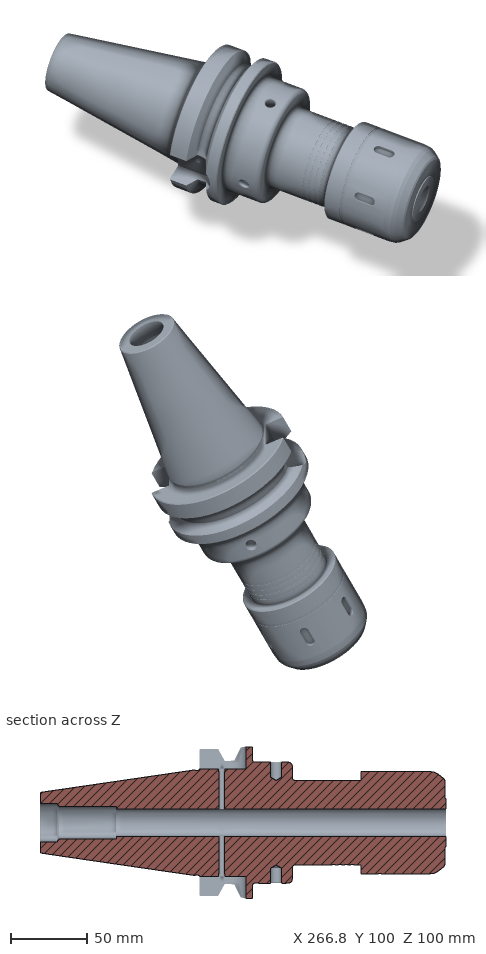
import cadquery as cq
import math

GAUGE_D = 69.85
TAPER_LENGTH = 101.8
TAPER_RATE = 7 / 24
SHANK_X = -TAPER_LENGTH
SHANK_CHAMFER = 0.5
RELIEF_D = 69.0
RELIEF_FILLET = 1.6

FLANGE_X = 3.0
FLANGE_END_X = 38.0
FLANGE_D = 100.0
RIM_CHAMFER = 0.6
GROOVE_D = 84.8
GROOVE_SLOPE = math.tan(math.radians(30))
GROOVE_FLOOR_X = 19.6
GROOVE_FLOOR_END_X = 25.8

BODY_D = 80.0
BODY_END_X = 64.0
BODY_ROUND = 3.0
BODY_FOOT_FILLET = 1.0

NECK_D = 56.0
NECK_FILLET = 1.5
MARK_D = 55.6
MARK_START_X = 90.2
MARK_WIDTH = 2.0
MARK_COUNT = 4

NUT_X = 108.8
NUT_D = 68.0
NUT_CHAMFER = 0.6
NUT_GROOVE_X = 120.2
NUT_GROOVE_WIDTH = 2.0
NUT_GROOVE_DEPTH = 0.3
NOSE_TAPER_X = 152.2
NOSE_TAPER_END_X = 157.0
NOSE_TAPER_DROP = 0.5
NOSE_BEVEL_X = 159.5
NOSE_BEVEL_R = 32.2
NOSE_BEVEL_END_X = 163.6
NOSE_BEVEL_END_R = 29.0
NOSE_FACE_X = 164.4
NOSE_FACE_R = 27.5
LIP_D = 32.0
END_X = 165.0

BORE_D = 18.0
THREAD_D = 21.0
THREAD_DEPTH = 50.0
THREAD_CHAMFER_D = 24.0
COUNTERBORE_D = 25.0
COUNTERBORE_MOUTH_D = 25.4
COUNTERBORE_DEPTH = 11.0

SLOT_WIDTH = 25.4
SLOT_END_X = 33.4
SLOT_FLOOR_Y = 35.4
SCREW_HOLE_X = 17.4
SCREW_HOLE_D = 3.4
SCREW_MOUTH_D = 4.0
SCREW_MOUTH_DEPTH = 2.0

RADIAL_HOLE_COUNT = 4
RADIAL_HOLE_X = 53.2
RADIAL_HOLE_D = 6.93
RADIAL_MOUTH_D = 8.0
RADIAL_HOLE_DEPTH = 10.0
DRILL_TIP_ANGLE = 118.0

SPANNER_SLOT_COUNT = 6
SPANNER_SLOT_X = 136.3
SPANNER_SLOT_LENGTH = 14.5
SPANNER_SLOT_WIDTH = 6.0
SPANNER_SLOT_DEPTH = 2.5

CUT_MARGIN = 1.0


def arc_middle(center_x, center_r, radius, degrees):
    """Point on a profile arc, at an angle measured from +X towards larger radius."""
    angle = math.radians(degrees)
    return center_x + radius * math.cos(angle), center_r + radius * math.sin(angle)


def fillet_to_wall(profile, wall_x, floor_r, radius):
    """Continue a profile along a cylinder and up a concave fillet to a wall on its +X side."""
    middle = arc_middle(wall_x - radius, floor_r + radius, radius, -45)
    profile = profile.lineTo(wall_x - radius, floor_r)
    return profile.threePointArc(middle, (wall_x, floor_r + radius))


def fillet_from_wall(profile, wall_x, floor_r, radius):
    """Continue a profile down a wall and through a concave fillet onto a cylinder on +X."""
    middle = arc_middle(wall_x + radius, floor_r + radius, radius, -135)
    profile = profile.lineTo(wall_x, floor_r + radius)
    return profile.threePointArc(middle, (wall_x + radius, floor_r))


def revolve(profile):
    return profile.close().revolve(360, (0, 0, 0), (1, 0, 0))


def ring_cut(start_x, width, floor_r, outer_r):
    ring = cq.Workplane("YZ", origin=(start_x, 0, 0)).circle(outer_r).circle(floor_r)
    return ring.extrude(width)


def make_shank_and_neck():
    small_r = (GAUGE_D - TAPER_LENGTH * TAPER_RATE) / 2
    flange_r = FLANGE_D / 2
    floor_r = GROOVE_D / 2
    body_r = BODY_D / 2
    neck_r = NECK_D / 2

    profile = cq.Workplane("XY").moveTo(SHANK_X, 0)
    profile = profile.lineTo(SHANK_X, small_r - SHANK_CHAMFER)
    profile = profile.lineTo(SHANK_X + SHANK_CHAMFER, small_r + SHANK_CHAMFER * TAPER_RATE / 2)
    profile = profile.lineTo(0, GAUGE_D / 2).lineTo(0, RELIEF_D / 2)
    profile = fillet_to_wall(profile, FLANGE_X, RELIEF_D / 2, RELIEF_FILLET)

    profile = profile.lineTo(FLANGE_X, flange_r - RIM_CHAMFER)
    profile = profile.lineTo(FLANGE_X + RIM_CHAMFER, flange_r)
    profile = profile.lineTo(GROOVE_FLOOR_X - (flange_r - floor_r) * GROOVE_SLOPE, flange_r)
    profile = profile.lineTo(GROOVE_FLOOR_X, floor_r)
    profile = profile.lineTo(GROOVE_FLOOR_END_X, floor_r)
    profile = profile.lineTo(GROOVE_FLOOR_END_X + (flange_r - floor_r) * GROOVE_SLOPE, flange_r)
    profile = profile.lineTo(FLANGE_END_X - RIM_CHAMFER, flange_r)
    profile = profile.lineTo(FLANGE_END_X, flange_r - RIM_CHAMFER)

    profile = fillet_from_wall(profile, FLANGE_END_X, body_r, BODY_FOOT_FILLET)
    profile = profile.lineTo(BODY_END_X - BODY_ROUND, body_r)
    round_middle = arc_middle(BODY_END_X - BODY_ROUND, body_r - BODY_ROUND, BODY_ROUND, 45)
    profile = profile.threePointArc(round_middle, (BODY_END_X, body_r - BODY_ROUND))
    profile = fillet_from_wall(profile, BODY_END_X, neck_r, NECK_FILLET)
    profile = profile.lineTo(NUT_X, neck_r).lineTo(NUT_X, 0)
    return revolve(profile)


def make_nut():
    nut_r = NUT_D / 2
    profile = cq.Workplane("XY").moveTo(NUT_X, 0)
    profile = profile.lineTo(NUT_X, nut_r - NUT_CHAMFER).lineTo(NUT_X + NUT_CHAMFER, nut_r)
    profile = profile.lineTo(NOSE_TAPER_X, nut_r)
    profile = profile.lineTo(NOSE_TAPER_END_X, nut_r - NOSE_TAPER_DROP)
    profile = profile.lineTo(NOSE_BEVEL_X, NOSE_BEVEL_R)
    profile = profile.lineTo(NOSE_BEVEL_END_X, NOSE_BEVEL_END_R)
    profile = profile.lineTo(NOSE_FACE_X, NOSE_FACE_R)
    profile = profile.lineTo(NOSE_FACE_X, LIP_D / 2).lineTo(END_X, LIP_D / 2).lineTo(END_X, 0)
    nut = revolve(profile)
    groove_r = nut_r - NUT_GROOVE_DEPTH
    return nut.cut(ring_cut(NUT_GROOVE_X, NUT_GROOVE_WIDTH, groove_r, nut_r + CUT_MARGIN))


def cut_marking_grooves(part):
    for index in range(MARK_COUNT):
        start_x = MARK_START_X + 2 * MARK_WIDTH * index
        part = part.cut(ring_cut(start_x, MARK_WIDTH, MARK_D / 2, NECK_D / 2 + CUT_MARGIN))
    return part


def cut_bore(part):
    step_x = SHANK_X + COUNTERBORE_DEPTH
    chamfer = (THREAD_CHAMFER_D - THREAD_D) / 2
    mouth_chamfer = (COUNTERBORE_MOUTH_D - COUNTERBORE_D) / 2
    profile = cq.Workplane("XY").moveTo(SHANK_X, 0).lineTo(SHANK_X, COUNTERBORE_MOUTH_D / 2)
    profile = profile.lineTo(SHANK_X + mouth_chamfer, COUNTERBORE_D / 2)
    profile = profile.lineTo(step_x, COUNTERBORE_D / 2).lineTo(step_x, THREAD_CHAMFER_D / 2)
    profile = profile.lineTo(step_x + chamfer, THREAD_D / 2)
    profile = profile.lineTo(SHANK_X + THREAD_DEPTH, THREAD_D / 2)
    profile = profile.lineTo(SHANK_X + THREAD_DEPTH, BORE_D / 2)
    profile = profile.lineTo(END_X, BORE_D / 2).lineTo(END_X, 0)
    return part.cut(revolve(profile))


def cut_drive_slots(part):
    half_width = SLOT_WIDTH / 2
    arc_x = SLOT_END_X - half_width
    slot = (
        cq.Workplane("XZ", origin=(0, -SLOT_FLOOR_Y, 0))
        .moveTo(0, -half_width)
        .lineTo(arc_x, -half_width)
        .threePointArc((SLOT_END_X, 0), (arc_x, half_width))
        .lineTo(0, half_width)
        .close()
        .extrude(FLANGE_D / 2 - SLOT_FLOOR_Y + CUT_MARGIN)
    )
    floor = cq.Workplane("XZ", origin=(SCREW_HOLE_X, -SLOT_FLOOR_Y, 0))
    hole = floor.circle(SCREW_HOLE_D / 2).extrude(-SLOT_FLOOR_Y)
    mouth = floor.circle(SCREW_MOUTH_D / 2).extrude(-SCREW_MOUTH_DEPTH)
    cutter = slot.union(hole).union(mouth)
    for angle in (0, 180):
        part = part.cut(cutter.rotate((0, 0, 0), (1, 0, 0), angle))
    return part


def cut_radial_holes(part):
    body_r = BODY_D / 2
    hole_r = RADIAL_HOLE_D / 2
    mouth_r = RADIAL_MOUTH_D / 2
    shoulder_z = body_r - RADIAL_HOLE_DEPTH
    tip_z = shoulder_z - hole_r / math.tan(math.radians(DRILL_TIP_ANGLE / 2))
    chamfer_z = body_r - (mouth_r - hole_r)
    hole = (
        cq.Workplane("XZ")
        .moveTo(0, tip_z)
        .lineTo(hole_r, shoulder_z)
        .lineTo(hole_r, chamfer_z)
        .lineTo(mouth_r, body_r)
        .lineTo(0, body_r)
        .close()
        .revolve(360, (0, 0, 0), (0, 1, 0))
        .translate((RADIAL_HOLE_X, 0, 0))
    )
    for index in range(RADIAL_HOLE_COUNT):
        part = part.cut(hole.rotate((0, 0, 0), (1, 0, 0), 360 / RADIAL_HOLE_COUNT * index))
    return part


def cut_spanner_slots(part):
    floor_z = NUT_D / 2 - SPANNER_SLOT_DEPTH
    slot = (
        cq.Workplane("XY", origin=(SPANNER_SLOT_X, 0, floor_z))
        .slot2D(SPANNER_SLOT_LENGTH, SPANNER_SLOT_WIDTH)
        .extrude(SPANNER_SLOT_DEPTH + CUT_MARGIN)
    )
    step = 360 / SPANNER_SLOT_COUNT
    for index in range(SPANNER_SLOT_COUNT):
        part = part.cut(slot.rotate((0, 0, 0), (1, 0, 0), step * index))
    return part


result = make_shank_and_neck().union(make_nut())
result = cut_marking_grooves(result)
result = cut_bore(result)
result = cut_drive_slots(result)
result = cut_radial_holes(result)
result = cut_spanner_slots(result)